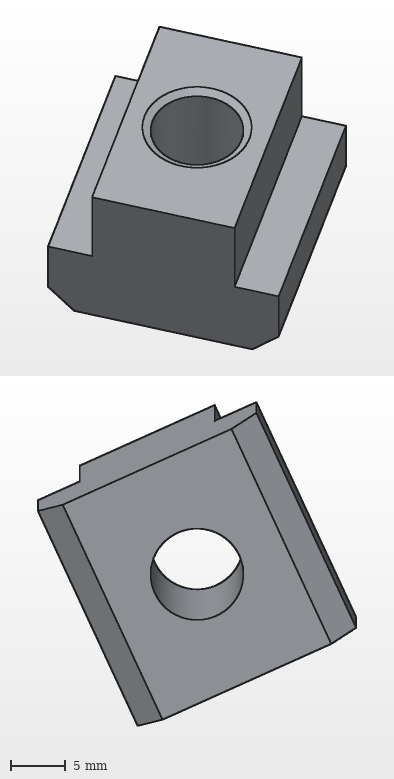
import cadquery as cq

width = 22.0
length = 22.0
height = 16.0

neck_width = 13.6
flange_height = height / 2
bottom_chamfer = 2.5

hole_diameter = 8.5
mouth_diameter = 10.0
mouth_angle = 120.0


def make_body():
    """Wide flange with chamfered lower edges, carrying a narrower neck."""
    flange = (
        cq.Workplane("XY")
        .box(width, length, flange_height, centered=(True, True, False))
        .edges("|Y and <Z")
        .chamfer(bottom_chamfer)
    )
    neck = cq.Workplane("XY").box(neck_width, length, height, centered=(True, True, False))
    return flange.union(neck)


def add_hole(body):
    """Cut the countersunk hole down from the centre of the neck."""
    return body.faces(">Z").workplane(origin=(0, 0, height)).cskHole(
        hole_diameter, mouth_diameter, mouth_angle
    )


result = add_hole(make_body())